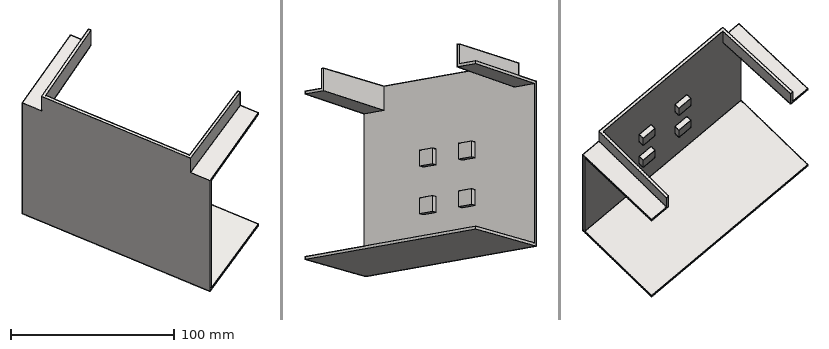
import cadquery as cq

run_length = 131.0
depth = 61.6
total_height = 118.4

channel_width = 106.0
wall_lean = 1.0
wall_thickness = 1.8
cover_thickness = 2.0

pad_size = 10.0
pad_spacing = 30.0
pad_height = 3.5

run_axis_height = channel_width / 2


def channel_section(workplane, wall, floor):
    """Trapezoid across a channel, inset by the wall and floor, widening towards the rear."""
    lean_rate = wall_lean / depth
    rear_half = channel_width / 2 - wall
    floor_half = rear_half - lean_rate * (depth - floor)
    return workplane.polyline([
        (-floor_half, floor),
        (floor_half, floor),
        (rear_half, depth),
        (-rear_half, depth),
    ]).close()


def tee_volume(wall, floor):
    """Horizontal run joined by a branch that rises from the run axis to the top."""
    run_plane = cq.Plane(
        origin=(-run_length / 2, 0, run_axis_height), xDir=(0, 0, -1), normal=(1, 0, 0)
    )
    branch_plane = cq.Plane(origin=(0, 0, run_axis_height), xDir=(1, 0, 0), normal=(0, 0, 1))
    run = channel_section(cq.Workplane(run_plane), wall, floor).extrude(run_length)
    branch_height = total_height - run_axis_height
    branch = channel_section(cq.Workplane(branch_plane), wall, floor).extrude(branch_height)
    return run.union(branch)


def cover_pads():
    """Two by two square pads centred on the run axis, standing on the inside of the cover."""
    pads_plane = cq.Plane(
        origin=(0, cover_thickness, run_axis_height), xDir=(0, 0, -1), normal=(0, 1, 0)
    )
    return (
        cq.Workplane(pads_plane)
        .rarray(pad_spacing, pad_spacing, 2, 2)
        .rect(pad_size, pad_size)
        .extrude(pad_height)
    )


shell = tee_volume(0, 0).cut(tee_volume(wall_thickness, cover_thickness))
result = shell.union(cover_pads())